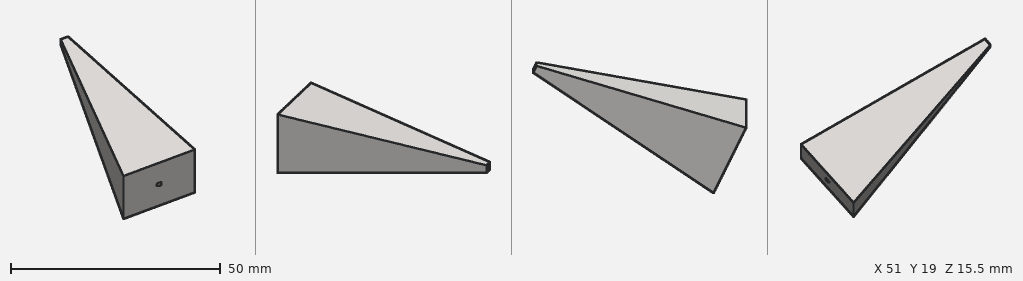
import cadquery as cq

length = 51.0
base_width = 19.0
base_height = 15.5
tip_side = 2.0
bore_diameter = 1.3

body = (
    cq.Workplane("YZ", origin=(-length / 2, 0, 0))
    .rect(tip_side, tip_side)
    .workplane(offset=length)
    .rect(base_width, base_height)
    .loft(ruled=True, combine=True)
)

bore = (
    cq.Workplane("YZ", origin=(-length / 2, 0, 0))
    .circle(bore_diameter / 2)
    .extrude(length)
)

result = body.cut(bore)